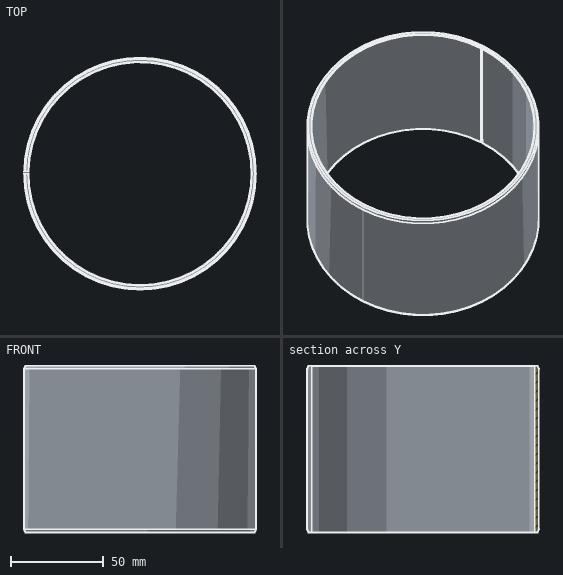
import cadquery as cq

outer_diameter = 125.0
wall = 2.5
length = 90.0
joint_gap = 1.0
outer_chamfer_height = 1.8
outer_chamfer_depth = 0.8
inner_chamfer = 0.4

outer_radius = outer_diameter / 2
inner_radius = outer_radius - wall
half_length = length / 2


def sleeve():
    """Revolve the wall section, bevelled at both ends, about Z."""
    profile = [
        (inner_radius, -half_length + inner_chamfer),
        (inner_radius + inner_chamfer, -half_length),
        (outer_radius - outer_chamfer_depth, -half_length),
        (outer_radius, -half_length + outer_chamfer_height),
        (outer_radius, half_length - outer_chamfer_height),
        (outer_radius - outer_chamfer_depth, half_length),
        (inner_radius + inner_chamfer, half_length),
        (inner_radius, half_length - inner_chamfer),
    ]
    return cq.Workplane("XZ").polyline(profile).close().revolve(360, (0, 0, 0), (0, 1, 0))


def joint():
    """Full-length slot through the -X wall, with one face on the XZ plane and the gap on its +Y side."""
    slot = cq.Workplane("XY").box(outer_diameter, joint_gap, 2 * length)
    return slot.translate((-outer_radius, joint_gap / 2, 0))


result = sleeve().cut(joint())